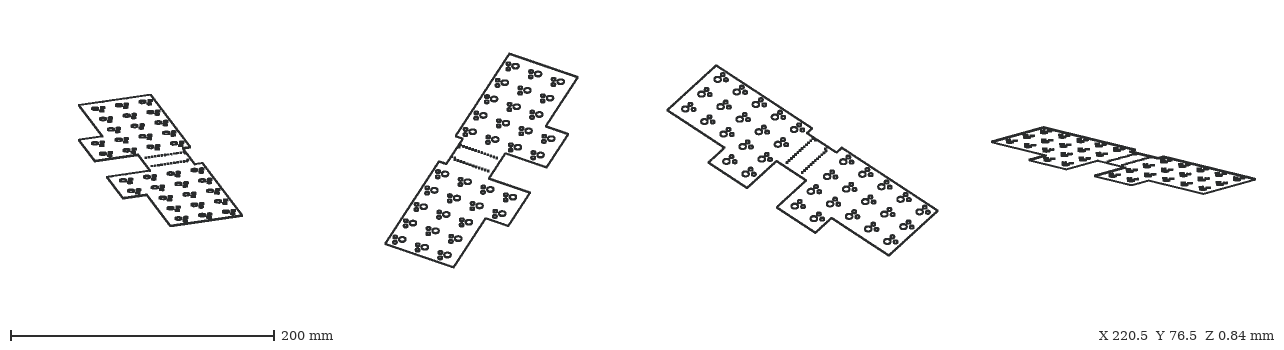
import cadquery as cq

length = 220.5
width = 76.5
thickness = 0.84
bridge_top_inset = 6.2
bridge_bottom_inset = 42.0

columns = 5
rows = 3
thumb_columns = 2
cell_margin = 0.25
key_pitch = (width - 2 * cell_margin) / (rows + 1)

stem_diameter = 5.0
pin_diameter = 3.0
upper_pin_offset = (0, 6.0)
side_pin_offset = (5.0, 3.7)

header_pins = 12
header_span = 28.0
header_row_spacing = 15.2
header_diameter = 1.0
header_pitch = header_span / (header_pins - 1)
header_top_inset = (bridge_top_inset + bridge_bottom_inset - header_span) / 2

left_wire_diameter = 0.9
left_wire_spacing = 2.6
left_wire_center_x = -6.6
left_wire_inset = 7.3
right_wire_diameter = 0.75
right_wire_spacing = 2.5
right_wire_x = 6.0
right_wire_center_inset = 7.7

left = -length / 2
top = width / 2
bottom = -width / 2
inner = length / 2 - columns * key_pitch - 2 * cell_margin
main_bottom = top - rows * key_pitch - 2 * cell_margin
thumb_outer = inner + thumb_columns * key_pitch + 2 * cell_margin


def plate():
    """Flat plate, drawn as its left half and mirrored across the YZ plane."""
    half_outline = [
        (0, top - bridge_top_inset),
        (-inner, top - bridge_top_inset),
        (-inner, top),
        (left, top),
        (left, main_bottom),
        (-thumb_outer, main_bottom),
        (-thumb_outer, bottom),
        (-inner, bottom),
        (-inner, top - bridge_bottom_inset),
        (0, top - bridge_bottom_inset),
    ]
    half = cq.Workplane("XY").polyline(half_outline).close().extrude(thickness)
    return half.union(half.mirror("YZ"))


def key_centers():
    """Cell centres of both halves; the thumb row has only the columns nearest the bridge."""
    centers = []
    for row in range(rows + 1):
        y = top - cell_margin - (row + 0.5) * key_pitch
        row_columns = columns if row < rows else thumb_columns
        for column in range(row_columns):
            x = inner + cell_margin + (column + 0.5) * key_pitch
            centers += [(-x, y), (x, y)]
    return centers


def shifted(points, offset):
    """The same points moved by an (x, y) offset."""
    return [(x + offset[0], y + offset[1]) for x, y in points]


def header_points():
    """Hole centres of both header rows, from the upper end down."""
    points = []
    for pin in range(header_pins):
        y = top - header_top_inset - pin * header_pitch
        points += [(-header_row_spacing / 2, y), (header_row_spacing / 2, y)]
    return points


def drill(body, points, diameter):
    """Cut round through holes at the given points."""
    drills = cq.Workplane("XY").pushPoints(points).circle(diameter / 2).extrude(thickness)
    return body.cut(drills)


result = plate()

keys = key_centers()
result = drill(result, keys, stem_diameter)
result = drill(result, shifted(keys, upper_pin_offset), pin_diameter)
result = drill(result, shifted(keys, side_pin_offset), pin_diameter)

result = drill(result, header_points(), header_diameter)

left_wires = [
    (left_wire_center_x + side * left_wire_spacing / 2, top - left_wire_inset) for side in (-1, 1)
]
right_wires = [
    (right_wire_x, top - right_wire_center_inset + side * right_wire_spacing / 2) for side in (-1, 1)
]
result = drill(result, left_wires, left_wire_diameter)
result = drill(result, right_wires, right_wire_diameter)